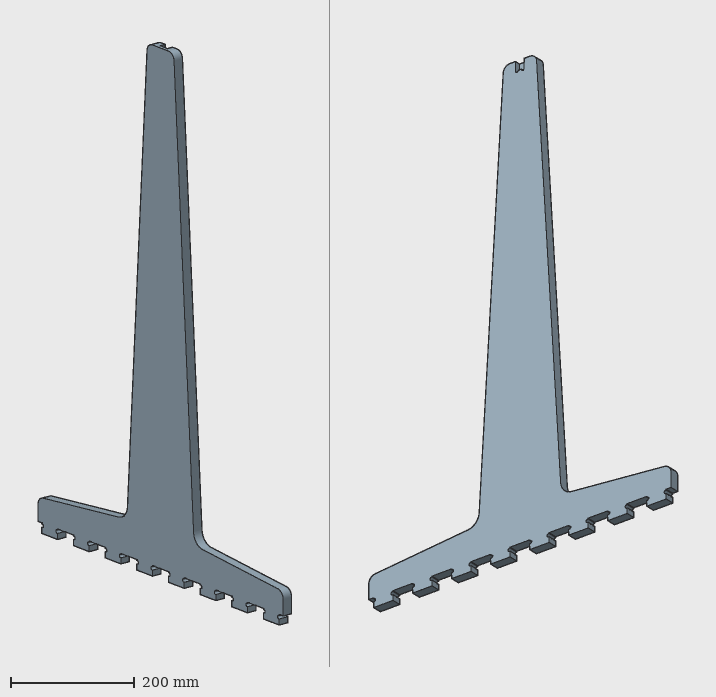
import cadquery as cq

thickness = 18.0
height = 907.0
foot_length = 620.0

foot_end_height = 60.0
foot_root_height = 80.5
foot_end_radius = 15.0

post_root_width = 170.0
post_top_width = 67.0
post_top_radius = 14.0
post_root_radius = 25.0

tooth_count = 8
tooth_pitch = 80.0
tooth_width = 40.0
tooth_height = 18.0

relief_radius = 3.0
relief_shoulder = 1.5
relief_depth = 4.0

slot_width = 18.0
slot_depth = 11.0
slot_length = 18.0
slot_relief_radius = 3.0


def round_corners(body, half_width, z, radius):
    """Round the pair of outline corners at X = +/-half_width and the given Z."""
    for x in (-half_width, half_width):
        corner = cq.selectors.NearestToPointSelector((x, thickness / 2, z))
        body = body.edges("|Y").edges(corner).fillet(radius)
    return body


def make_plate():
    """Inverted T outline above the teeth, with all its corners rounded."""
    half_foot = foot_length / 2
    half_root = post_root_width / 2
    half_top = post_top_width / 2
    outline = [
        (-half_foot, tooth_height),
        (half_foot, tooth_height),
        (half_foot, foot_end_height),
        (half_root, foot_root_height),
        (half_top, height),
        (-half_top, height),
        (-half_root, foot_root_height),
        (-half_foot, foot_end_height),
    ]
    plate = cq.Workplane("XZ").polyline(outline).close().extrude(-thickness)
    plate = round_corners(plate, half_foot, foot_end_height, foot_end_radius)
    plate = round_corners(plate, half_root, foot_root_height, post_root_radius)
    return round_corners(plate, half_top, height, post_top_radius)


def make_tooth(center_x):
    """Tooth with a round-ended relief near the root of each flank."""
    left = center_x - tooth_width / 2
    right = center_x + tooth_width / 2
    straight = relief_depth - relief_radius
    relief_top = tooth_height - relief_shoulder
    relief_middle = relief_top - relief_radius
    relief_bottom = relief_middle - relief_radius
    return (
        cq.Workplane("XZ")
        .moveTo(left, 0)
        .lineTo(right, 0)
        .lineTo(right, relief_bottom)
        .lineTo(right - straight, relief_bottom)
        .threePointArc((right - relief_depth, relief_middle), (right - straight, relief_top))
        .lineTo(right, relief_top)
        .lineTo(right, tooth_height)
        .lineTo(left, tooth_height)
        .lineTo(left, relief_top)
        .lineTo(left + straight, relief_top)
        .threePointArc((left + relief_depth, relief_middle), (left + straight, relief_bottom))
        .lineTo(left, relief_bottom)
        .close()
        .extrude(-thickness)
    )


def make_slot():
    """Slot cutter with a half-round relief in each corner of its floor."""
    half_width = slot_width / 2
    floor_z = height - slot_length
    inner = half_width - 2 * slot_relief_radius
    middle = half_width - slot_relief_radius
    relief_z = floor_z - slot_relief_radius
    return (
        cq.Workplane("XZ", origin=(0, thickness - slot_depth, 0))
        .moveTo(-half_width, height)
        .lineTo(-half_width, floor_z)
        .threePointArc((-middle, relief_z), (-inner, floor_z))
        .lineTo(inner, floor_z)
        .threePointArc((middle, relief_z), (half_width, floor_z))
        .lineTo(half_width, height)
        .close()
        .extrude(-slot_depth)
    )


result = make_plate()
for index in range(tooth_count):
    tooth_x = (index - (tooth_count - 1) / 2) * tooth_pitch
    result = result.union(make_tooth(tooth_x))
result = result.cut(make_slot())